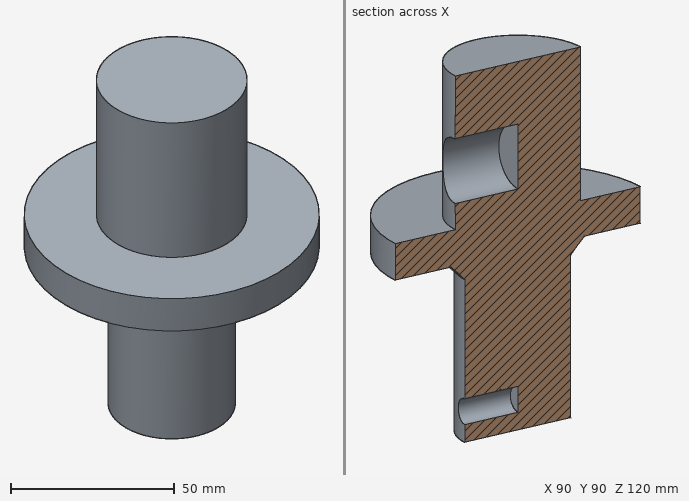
import cadquery as cq

total_height = 120.0
lower_shaft_diameter = 39.0
upper_shaft_diameter = 46.0
flange_diameter = 90.0
flange_thickness = 12.0
flange_top_z = 70.0
collar_height = 5.0

upper_port_diameter = 21.0
upper_port_height_above_flange = 19.0
lower_port_diameter = 8.3
lower_port_z = 10.0

flange_bottom_z = flange_top_z - flange_thickness
collar_bottom_z = flange_bottom_z - collar_height
lower_shaft_radius = lower_shaft_diameter / 2
upper_shaft_radius = upper_shaft_diameter / 2
flange_radius = flange_diameter / 2
collar_top_radius = lower_shaft_radius + collar_height
upper_port_z = flange_top_z + upper_port_height_above_flange


def make_turned_body():
    """Revolve the half section of shafts, collar and flange about Z."""
    half_section = (
        cq.Workplane("XZ")
        .moveTo(0, 0)
        .lineTo(lower_shaft_radius, 0)
        .lineTo(lower_shaft_radius, collar_bottom_z)
        .lineTo(collar_top_radius, flange_bottom_z)
        .lineTo(flange_radius, flange_bottom_z)
        .lineTo(flange_radius, flange_top_z)
        .lineTo(upper_shaft_radius, flange_top_z)
        .lineTo(upper_shaft_radius, total_height)
        .lineTo(0, total_height)
        .close()
    )
    return half_section.revolve(360, (0, 0, 0), (0, 1, 0))


def make_port(diameter, center_z, shaft_radius):
    """Cylinder running along +Y from the axis to the shaft surface."""
    return cq.Workplane(
        cq.Plane(origin=(0, 0, center_z), xDir=(1, 0, 0), normal=(0, 1, 0))
    ).circle(diameter / 2).extrude(shaft_radius)


upper_port = make_port(upper_port_diameter, upper_port_z, upper_shaft_radius)
lower_port = make_port(lower_port_diameter, lower_port_z, lower_shaft_radius)

result = make_turned_body().cut(upper_port).cut(lower_port)